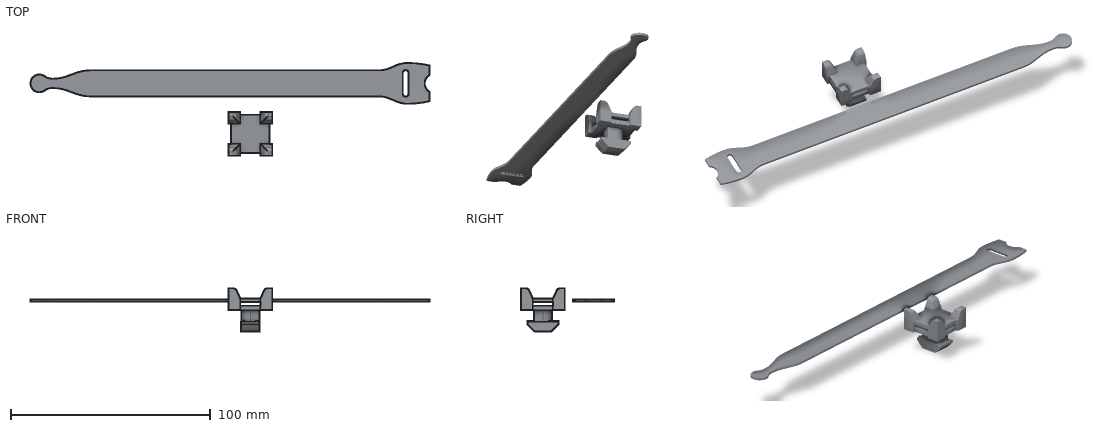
import cadquery as cq
import math


overall_depth = 46.5

strap_length = 200.0
strap_width = 13.2
strap_thickness = 1.2
strap_bottom_z = 4.2
bulb_radius = 4.5
bulb_exit_angle = math.radians(50)
neck_x = 11.4
neck_width = 4.8
taper_end_x = 30.0
head_start_x = 174.5
head_widest_x = 189.0
head_width = 20.5
head_end_width = 18.0
head_end_slope = -0.22
slot_x = 188.0
slot_length = 13.2
slot_width = 2.8
notch_depth = 2.4
notch_width = 8.4

clip_x = 110.2
clip_width = 22.0
clip_height = 21.8
post_height = 11.0
post_width = 6.0
post_crest = 3.5
post_crest_radius = 2.4
post_slope_drop = 5.2
plate_inset = 1.3
upper_plate_thickness = 1.8
lower_plate_thickness = 2.2
stem_width = 9.2
foot_width = 9.4
foot_length = 15.5
foot_bottom_length = 8.4
foot_height = 4.8
foot_lip = 1.2
rib_width = 0.8
rib_height = 0.5
rib_offset = 3.2

strap_y = overall_depth - clip_width / 2 - head_width / 2
clip_half = clip_width / 2
plate_width = clip_width - 2 * plate_inset
plate_top_z = post_height - post_slope_drop
foot_bottom_z = post_height - clip_height
foot_top_z = foot_bottom_z + foot_height


def strap_half():
    """The +Y half of the strap, lying on its centre line."""
    along = (1, 0)
    exit_x = bulb_radius * (1 + math.cos(bulb_exit_angle))
    exit_y = bulb_radius * math.sin(bulb_exit_angle)
    exit_direction = (math.sin(bulb_exit_angle), -math.cos(bulb_exit_angle))

    notch_half = notch_width / 2
    notch_radius = (notch_half**2 + notch_depth**2) / (2 * notch_depth)
    notch_half_angle = math.asin(notch_half / notch_radius) / 2
    notch_floor_x = strap_length - notch_depth
    notch_middle = (
        notch_floor_x + notch_radius * (1 - math.cos(notch_half_angle)),
        notch_radius * math.sin(notch_half_angle),
    )

    return (
        cq.Workplane("XY")
        .threePointArc((bulb_radius, bulb_radius), (exit_x, exit_y))
        .spline([(neck_x, neck_width / 2)], tangents=[exit_direction, along], includeCurrent=True)
        .spline([(taper_end_x, strap_width / 2)], tangents=[along, along], includeCurrent=True)
        .lineTo(head_start_x, strap_width / 2)
        .spline([(head_widest_x, head_width / 2)], tangents=[along, along], includeCurrent=True)
        .spline(
            [(strap_length, head_end_width / 2)],
            tangents=[along, (1, head_end_slope)],
            includeCurrent=True,
        )
        .lineTo(strap_length, notch_half)
        .threePointArc(notch_middle, (notch_floor_x, 0))
        .close()
        .extrude(strap_thickness)
    )


def make_strap():
    half = strap_half()
    band = half.union(half.mirror("XZ")).clean()
    slot = (
        cq.Workplane("XY")
        .center(slot_x, 0)
        .slot2D(slot_length, slot_width, 90)
        .extrude(strap_thickness)
    )
    return band.cut(slot).translate((0, strap_y, strap_bottom_z))


def post_ramp(plane, crest_point):
    """Prism with the post outline: upright outside, rounded crest, slope to the plate."""
    inner = clip_half - post_width
    return (
        cq.Workplane(plane)
        .moveTo(clip_half, 0)
        .lineTo(clip_half, post_height)
        .lineTo(clip_half - post_crest, post_height)
        .lineTo(inner, plate_top_z)
        .lineTo(inner, 0)
        .close()
        .extrude(clip_half, both=True)
        .edges(cq.selectors.NearestToPointSelector(crest_point))
        .fillet(post_crest_radius)
    )


def make_post():
    """Post of the +X +Y corner, sloping towards both middle planes."""
    crest = clip_half - post_crest
    across_x = post_ramp("XZ", (crest, 0, post_height))
    across_y = post_ramp("YZ", (0, crest, post_height))
    return across_x.intersect(across_y)


def make_plate(bottom_z, thickness):
    return (
        cq.Workplane("XY")
        .workplane(offset=bottom_z)
        .rect(plate_width, plate_width)
        .extrude(thickness)
    )


def make_stem():
    """Square stem with two opposite corners rounded so that the foot can turn."""
    half = stem_width / 2
    return (
        cq.Workplane("XY")
        .workplane(offset=foot_top_z)
        .moveTo(0, -half)
        .lineTo(half, -half)
        .lineTo(half, 0)
        .radiusArc((0, half), -half)
        .lineTo(-half, half)
        .lineTo(-half, 0)
        .radiusArc((0, -half), -half)
        .close()
        .extrude(-foot_top_z)
    )


def make_foot():
    top_half = foot_length / 2
    bottom_half = foot_bottom_length / 2
    lip_bottom_z = foot_top_z - foot_lip
    return (
        cq.Workplane("YZ")
        .moveTo(-bottom_half, foot_bottom_z)
        .lineTo(bottom_half, foot_bottom_z)
        .lineTo(top_half, lip_bottom_z)
        .lineTo(top_half, foot_top_z)
        .lineTo(-top_half, foot_top_z)
        .lineTo(-top_half, lip_bottom_z)
        .close()
        .extrude(foot_width / 2, both=True)
    )


def make_foot_ribs():
    """Two low ribs along the top of the foot, on either side of the stem middle."""
    return (
        cq.Workplane("XY")
        .workplane(offset=foot_top_z)
        .pushPoints([(-rib_offset, 0), (rib_offset, 0)])
        .rect(rib_width, foot_length)
        .extrude(rib_height)
    )


def make_clip():
    clip = make_plate(0, lower_plate_thickness)
    clip = clip.union(make_plate(plate_top_z - upper_plate_thickness, upper_plate_thickness))
    post = make_post()
    for quarter in range(4):
        clip = clip.union(post.rotate((0, 0, 0), (0, 0, 1), 90 * quarter))
    clip = clip.union(make_stem()).union(make_foot()).union(make_foot_ribs())
    return clip.translate((clip_x, 0, 0))


strap = make_strap()
clip = make_clip()

result = cq.Compound.makeCompound([strap.val(), clip.val()])